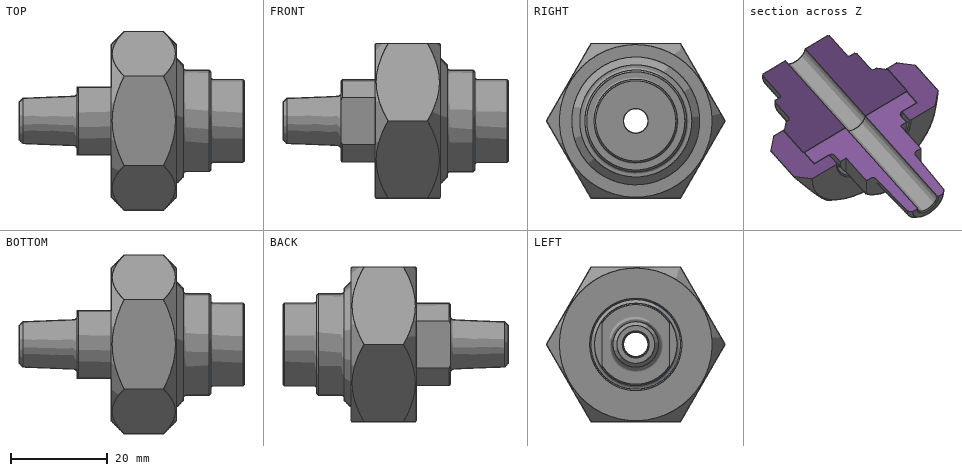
import cadquery as cq
import math

LENGTH = 46.5
BORE_RADIUS = 2.5
EDGE = 0.3

TIP_RADIUS = 4.7
TIP_CHAMFER = 0.8
TAPER_END_RADIUS = 5.1
NECK_FILLET = 0.7
COLLAR_START = 11.95
COLLAR_RADIUS = 17.0 / 2
FLAT_WIDTH = 14.0
FLAT_END = 19.05
ROOT_FILLET = 0.75

NUT_START = 18.95
NUT_END = 32.5
ACROSS_FLATS = 32.0
NUT_FACE_RADIUS = 15.75
NUT_BORE_RADIUS = 18.5 / 2
CAVITY_RADIUS = 26.4 / 2
LIP_THICKNESS = 2.8
FLANGE_THICKNESS = 3.7

CONE_END = 33.9
CONE_END_RADIUS = 11.6
SHOULDER_RADIUS = 21.0 / 2
SHOULDER_END = 39.6
SHOULDER_FILLET = 0.55
SHOULDER_CHAMFER = 0.35
END_RADIUS = 17.2 / 2
END_FILLET = 0.35
END_CHAMFER = 0.33

FLANGE_START = NUT_START + LIP_THICKNESS
FLANGE_END = FLANGE_START + FLANGE_THICKNESS


def revolve_about_x(profile):
    """Turn a closed (x, radius) profile into a solid of revolution."""
    return profile.close().revolve(360, (0, 0, 0), (1, 0, 0))


def root_fillet(profile, center_x, center_radius, radius, direction):
    """Add the quarter arc of an inside corner.

    direction is +1 when the radius grows along X (arc ends on a face),
    and -1 when it shrinks (arc starts on a face).
    """
    diagonal = radius * math.sqrt(0.5)
    middle = (center_x + direction * diagonal, center_radius - diagonal)
    on_cylinder = (center_x, center_radius - radius)
    on_face = (center_x + direction * radius, center_radius)
    end = on_face if direction > 0 else on_cylinder
    return profile.threePointArc(middle, end)


def make_nipple():
    profile = (
        cq.Workplane("XY")
        .moveTo(0, BORE_RADIUS + EDGE)
        .lineTo(0, TIP_RADIUS - TIP_CHAMFER)
        .lineTo(TIP_CHAMFER, TIP_RADIUS)
        .lineTo(COLLAR_START - NECK_FILLET, TAPER_END_RADIUS)
    )
    profile = root_fillet(
        profile, COLLAR_START - NECK_FILLET, TAPER_END_RADIUS + NECK_FILLET, NECK_FILLET, 1
    )
    profile = (
        profile.lineTo(COLLAR_START, COLLAR_RADIUS - EDGE)
        .lineTo(COLLAR_START + EDGE, COLLAR_RADIUS)
        .lineTo(FLANGE_START - ROOT_FILLET, COLLAR_RADIUS)
    )
    profile = root_fillet(
        profile, FLANGE_START - ROOT_FILLET, COLLAR_RADIUS + ROOT_FILLET, ROOT_FILLET, 1
    )
    profile = (
        profile.lineTo(FLANGE_START, CAVITY_RADIUS)
        .lineTo(FLANGE_END, CAVITY_RADIUS)
        .lineTo(FLANGE_END, BORE_RADIUS)
        .lineTo(EDGE, BORE_RADIUS)
    )
    nipple = revolve_about_x(profile)

    flat_length = FLAT_END - COLLAR_START
    for side in (1, -1):
        cutter = cq.Workplane("XY").box(
            flat_length, COLLAR_RADIUS, 2 * COLLAR_RADIUS, centered=(False, True, True)
        )
        offset = side * (FLAT_WIDTH + COLLAR_RADIUS) / 2
        nipple = nipple.cut(cutter.translate((COLLAR_START, offset, 0)))
    return nipple


def make_nut():
    corner_radius = ACROSS_FLATS / math.sqrt(3)
    corner_chamfer = corner_radius - NUT_FACE_RADIUS
    hexagon = (
        cq.Workplane("YZ", origin=(NUT_START, 0, 0))
        .polygon(6, 2 * corner_radius)
        .extrude(NUT_END - NUT_START)
    )
    envelope = (
        cq.Workplane("YZ", origin=(NUT_START, 0, 0))
        .circle(corner_radius)
        .extrude(NUT_END - NUT_START)
        .faces("<X or >X")
        .chamfer(corner_chamfer)
    )
    opening = revolve_about_x(
        cq.Workplane("XY")
        .moveTo(NUT_START, 0)
        .lineTo(NUT_START, NUT_BORE_RADIUS + EDGE)
        .lineTo(NUT_START + EDGE, NUT_BORE_RADIUS)
        .lineTo(FLANGE_START, NUT_BORE_RADIUS)
        .lineTo(FLANGE_START, CAVITY_RADIUS)
        .lineTo(NUT_END, CAVITY_RADIUS)
        .lineTo(NUT_END, 0)
    )
    return hexagon.intersect(envelope).cut(opening)


def make_tailpiece():
    cone_start = CONE_END - (CAVITY_RADIUS - CONE_END_RADIUS)
    profile = (
        cq.Workplane("XY")
        .moveTo(FLANGE_END, BORE_RADIUS)
        .lineTo(FLANGE_END, CAVITY_RADIUS)
        .lineTo(cone_start, CAVITY_RADIUS)
        .lineTo(CONE_END, CONE_END_RADIUS)
        .lineTo(CONE_END, SHOULDER_RADIUS + SHOULDER_FILLET)
    )
    profile = root_fillet(
        profile, CONE_END + SHOULDER_FILLET, SHOULDER_RADIUS + SHOULDER_FILLET, SHOULDER_FILLET, -1
    )
    profile = (
        profile.lineTo(SHOULDER_END - SHOULDER_CHAMFER, SHOULDER_RADIUS)
        .lineTo(SHOULDER_END, SHOULDER_RADIUS - SHOULDER_CHAMFER)
        .lineTo(SHOULDER_END, END_RADIUS + END_FILLET)
    )
    profile = root_fillet(
        profile, SHOULDER_END + END_FILLET, END_RADIUS + END_FILLET, END_FILLET, -1
    )
    profile = (
        profile.lineTo(LENGTH - END_CHAMFER, END_RADIUS)
        .lineTo(LENGTH, END_RADIUS - END_CHAMFER)
        .lineTo(LENGTH, BORE_RADIUS)
    )
    return revolve_about_x(profile)


nipple = make_nipple()
nut = make_nut()
tailpiece = make_tailpiece()

result = cq.Compound.makeCompound([nipple.val(), nut.val(), tailpiece.val()])